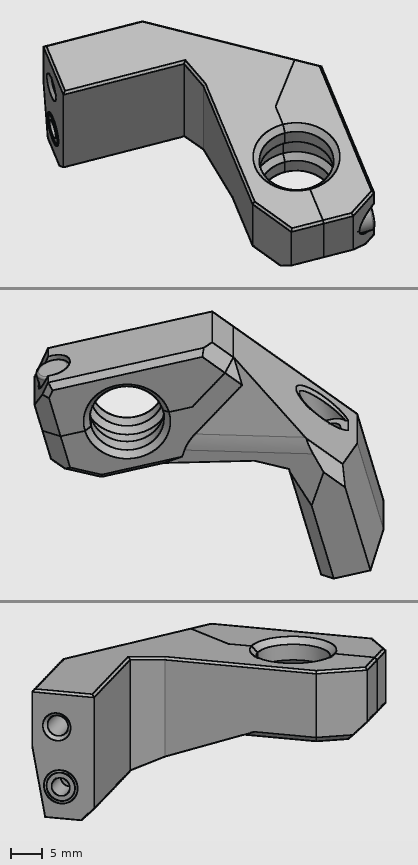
import cadquery as cq
import math


total_length = 47.73
total_width = 40.63
leg_width = 10.23
leg_inner_length = 20.1
leg_outer_length = 16.5
clamp_front_y = 21.6
clamp_left_x = 17.45
throat_x = 15.46
front_corner = (40.5, 25.7)
back_corner = (44.3, 36.0)

total_height = 21.06
clamp_height = 12.0
top_chamfer = 0.4

front_chamfer = 1.0
end_chamfer = 3.0
diagonal_chamfer = 2.1
leg_chamfer = 2.1

taper_start = 9.45
taper_inset = 2.14

slope_origin = (throat_x, clamp_front_y, -16.56)
slope_rise = (0.3735, 0.23)
brace_origin = (6.15, 25.0, -18.97)
brace_pitch = 0.612
underside_blend = 12.0

bore_x = 33.87
bore_y = 31.09
bore_diameter = 11.75
bore_chamfer = 1.0
groove_depth = 1.0
groove_mouth = 4.8

split_knee_x = 23.2

through_x = 4.07
through_z = -5.85
through_diameter = 3.4
through_mouth_diameter = 4.6
counterbore_diameter = 6.0
counterbore_floor_y = 18.0
counterbore_chamfer = 0.5

insert_x = 4.72
insert_z = -15.8
insert_diameter = 5.56
insert_nose_diameter = 4.7
insert_bore = 3.0
insert_length = 5.0
insert_nose_length = 0.1

screw_x = 43.71
screw_z = -clamp_height / 2
screw_diameter = 3.0
screw_length = 10.0
head_diameter = 5.5
head_height = 3.0
head_top_y = 40.1
head_seat_y = head_top_y - head_height
head_fillet = 0.4
screw_clearance = 3.4
head_clearance = 6.0

diagonal_angle = math.atan2(total_width - leg_outer_length, clamp_left_x)
along_x = math.cos(diagonal_angle)
along_y = math.sin(diagonal_angle)
inward_x = along_y
inward_y = -along_x

far = 2 * total_length


def y_cylinder(x, z, diameter, start_y, end_y):
    """Cylinder along Y between two Y positions."""
    direction = math.copysign(1, end_y - start_y)
    plane = cq.Plane(origin=(x, start_y, z), xDir=(-1, 0, 0), normal=(0, direction, 0))
    return cq.Workplane(plane).circle(diameter / 2).extrude(abs(end_y - start_y))


def half_space(origin, normal):
    """Large block filling the side of a plane that its normal points to."""
    plane = cq.Plane(origin=origin, normal=normal)
    return cq.Workplane(plane).rect(2 * far, 2 * far).extrude(far)


def plan_block(height):
    """Prism of the whole plan outline, hanging down from the top face."""
    return (
        cq.Workplane("XY")
        .polyline([
            (0, 0),
            (leg_width, 0),
            (leg_width, leg_inner_length),
            (throat_x, clamp_front_y),
            (front_corner[0], clamp_front_y),
            (total_length, front_corner[1]),
            (total_length, back_corner[1]),
            (back_corner[0], total_width),
            (clamp_left_x, total_width),
            (0, leg_outer_length),
        ])
        .close()
        .extrude(-height)
    )


def edge_cut(point, outward, size, height):
    """Half space that takes a 45 degree chamfer off the bottom edge of a wall through a point."""
    return half_space(
        (point[0], point[1], size - height),
        (outward[0], outward[1], -1),
    )


def clamp_slab():
    """Shallow part of the body, chamfered along its bottom edges."""
    front_run = (total_length - front_corner[0], front_corner[1] - clamp_front_y)
    front_size = math.hypot(*front_run)
    back_run = (total_length - back_corner[0], total_width - back_corner[1])
    back_size = math.hypot(*back_run)
    front_outward = (front_run[1] / front_size, -front_run[0] / front_size)
    back_outward = (back_run[1] / back_size, back_run[0] / back_size)
    slab = plan_block(clamp_height)
    for point, outward, size in [
        ((front_corner[0], clamp_front_y), (0, -1), front_chamfer),
        ((total_length, front_corner[1]), front_outward, front_chamfer),
        ((total_length, front_corner[1]), (1, 0), end_chamfer),
        ((back_corner[0], total_width), back_outward, front_chamfer),
        ((clamp_left_x, total_width), (0, 1), front_chamfer),
        ((clamp_left_x, total_width), (-inward_x, -inward_y), diagonal_chamfer),
    ]:
        slab = slab.cut(edge_cut(point, outward, size, clamp_height))
    return slab


def deep_block():
    """Leg and brace at full height, cut by the two sloped planes under the brace."""
    slope_normal = (slope_rise[0], slope_rise[1], -1)
    brace_normal = (brace_pitch * along_x, brace_pitch * along_y, -1)
    block = (
        plan_block(total_height)
        .cut(half_space(slope_origin, slope_normal))
        .cut(half_space(brace_origin, brace_normal))
    )
    ridge = cq.Vector(*slope_normal).cross(cq.Vector(*brace_normal))
    block = block.edges(cq.selectors.ParallelDirSelector(ridge)).fillet(underside_blend)

    block = block.cut(edge_cut((0, leg_outer_length), (-inward_x, -inward_y), leg_chamfer, total_height))
    inner_wedge = (
        cq.Workplane("XZ")
        .polyline([
            (leg_width, -total_height),
            (leg_width, leg_chamfer - total_height),
            (leg_width - leg_chamfer, -total_height),
        ])
        .close()
        .extrude(-leg_inner_length)
    )
    taper_wedge = (
        cq.Workplane("XZ")
        .polyline([(0, -taper_start), (taper_inset, -total_height), (0, -total_height)])
        .close()
        .extrude(-total_width)
    )
    return block.cut(inner_wedge).cut(taper_wedge)


def bore_tool():
    """Clamp bore: chamfered at both ends, with a groove of 45 degree flanks at mid height."""
    radius = bore_diameter / 2
    middle = clamp_height / 2
    mouth = groove_mouth / 2
    mouth_radius = radius + bore_chamfer
    return (
        cq.Workplane("XZ", origin=(bore_x, bore_y, 0))
        .polyline([
            (0, 0),
            (mouth_radius, 0),
            (radius, -bore_chamfer),
            (radius, mouth - middle),
            (radius + groove_depth, mouth - groove_depth - middle),
            (radius + groove_depth, groove_depth - mouth - middle),
            (radius, -mouth - middle),
            (radius, bore_chamfer - clamp_height),
            (mouth_radius, -clamp_height),
            (0, -clamp_height),
        ])
        .close()
        .revolve(360, (0, 0, 0), (0, 1, 0))
    )


def cap_region():
    """Everything behind the split, which turns square to the diagonal wall left of its knee."""
    return (
        cq.Workplane("XY")
        .polyline([
            (split_knee_x, bore_y),
            (far, bore_y),
            (far, far),
            (split_knee_x - far * inward_x, bore_y - far * inward_y),
        ])
        .close()
        .extrude(-total_height)
    )


def counterbore_tool(arm):
    """Counterbore that opens through the diagonal wall, with a chamfered oval mouth."""
    start_y = counterbore_floor_y - counterbore_diameter
    pierced = arm.cut(y_cylinder(through_x, through_z, counterbore_diameter, start_y, total_width))
    mouth_radius = counterbore_diameter / 2 + counterbore_chamfer
    mouth_box = cq.selectors.BoxSelector(
        (through_x - mouth_radius, leg_outer_length, through_z - mouth_radius),
        (through_x + mouth_radius, total_width, through_z + mouth_radius),
        boundingbox=True,
    )
    chamfered = pierced.edges(mouth_box).chamfer(counterbore_chamfer)
    return arm.cut(chamfered).intersect(half_space((through_x, counterbore_floor_y, 0), (0, 1, 0)))


def mouth_tool():
    """Cone that opens the front end of the through hole at 45 degrees."""
    depth = (through_mouth_diameter - through_diameter) / 2
    return (
        cq.Workplane("XZ", origin=(through_x, 0, through_z))
        .circle(through_mouth_diameter / 2)
        .workplane(offset=-depth)
        .circle(through_diameter / 2)
        .loft(ruled=True)
    )


def make_insert():
    """Threaded insert: a slim nose level with the leg's front face and a wider body behind it."""
    nose = y_cylinder(insert_x, insert_z, insert_nose_diameter, 0, insert_nose_length)
    body = nose.union(y_cylinder(insert_x, insert_z, insert_diameter, insert_nose_length, insert_length))
    return body.cut(y_cylinder(insert_x, insert_z, insert_bore, 0, insert_length))


def make_screw():
    """Socket screw shape: head with a rounded top and a plain shank, along Y."""
    head = y_cylinder(screw_x, screw_z, head_diameter, head_seat_y, head_top_y)
    head = head.faces(">Y").edges().fillet(head_fillet)
    shank = y_cylinder(screw_x, screw_z, screw_diameter, head_seat_y, head_seat_y - screw_length)
    return head.union(shank)


body = clamp_slab().union(deep_block()).faces(">Z").chamfer(top_chamfer).cut(bore_tool())

cap = (
    body.intersect(cap_region())
    .cut(y_cylinder(screw_x, screw_z, screw_clearance, bore_y, head_seat_y))
    .cut(y_cylinder(screw_x, screw_z, head_clearance, head_seat_y, total_width))
)

arm = body.cut(cap_region())
arm = arm.cut(y_cylinder(screw_x, screw_z, screw_diameter, bore_y, head_seat_y - screw_length))
arm = (
    arm.cut(counterbore_tool(arm))
    .cut(y_cylinder(through_x, through_z, through_diameter, 0, total_width))
    .cut(mouth_tool())
    .cut(y_cylinder(insert_x, insert_z, insert_diameter, 0, insert_length))
)

insert = make_insert()
screw = make_screw()
result = cq.Compound.makeCompound([arm.val(), cap.val(), insert.val(), screw.val()])